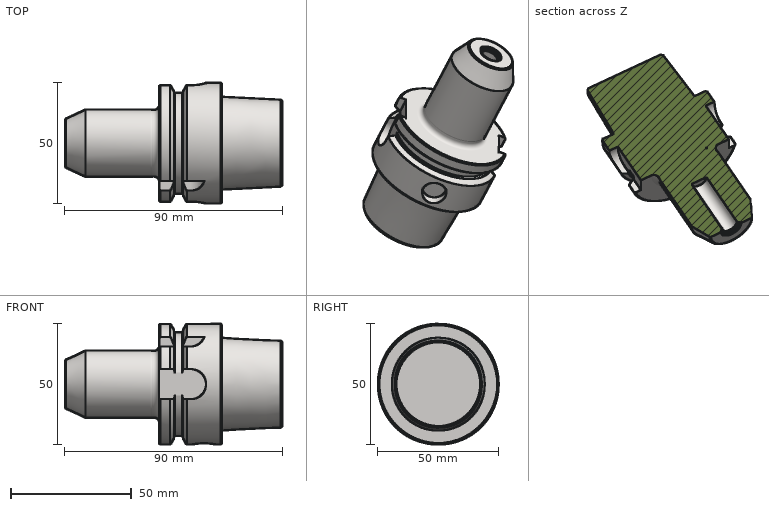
import cadquery as cq
import math

TOTAL_LENGTH = 90.0
FLANGE_START = 39.0
FLANGE_END = 65.0

NOSE_FACE_RADIUS = 9.6
NOSE_EDGE = 0.4
NOSE_EDGE_RADIUS = 10.2
NOSE_LENGTH = 8.55
SHANK_RADIUS = 28.0 / 2
NECK_RADIUS = 27.8 / 2
SHANK_END = 35.55
NECK_START = 36.1
NECK_FILLET = 2.1

FLANGE_RADIUS = 50.0 / 2
FRONT_CHAMFER = 0.45
REAR_CHAMFER = 0.6
GROOVE_FLOOR_RADIUS = 21.5
GROOVE_START = FLANGE_START + 6.1
GROOVE_END = FLANGE_START + 9.8
GROOVE_FILLET = 0.45
GROOVE_WALL_RADIUS = 22.5
GROOVE_FLANK_RADIUS = 24.5
FLANK_RUN = (GROOVE_FLANK_RADIUS - GROOVE_WALL_RADIUS) * math.tan(math.radians(30))
GROOVE_EDGE = 0.45

TAPER_RADIUS = 19.3
TAPER_SLOPE = 1 / 20
TAPER_EDGE_LENGTH = 0.9
TAPER_EDGE_DROP = 0.7

BORE_MOUTH_DIAMETER = 9.5
BORE_ENTRY_DIAMETER = 8.5
BORE_NECK_DIAMETER = 8.0
BORE_DIAMETER = 6.8
BORE_ENTRY_LENGTH = 0.3
BORE_DEPTH = 27.0

SLOT_FLOOR = 21.0
SLOT_END = FLANGE_START + 19.35
FRONT_SLOT_WIDTH = 12.4
BACK_SLOT_WIDTH = 13.8
BACK_SLOT_CORNER = 5.9
NOTCH_OFFSET = 15.6
NOTCH_STRAIGHT = 13.0
NOTCH_END_RADIUS = 6.0

SIDE_HOLE_DIAMETER = 10.0
SIDE_HOLE_X = FLANGE_START + 18.5
SIDE_HOLE_DEPTH = 4.6


def revolve_about_x(profile):
    """Turn a closed half profile, drawn as (x, radius), about X."""
    return profile.close().revolve(360, (0, 0, 0), (1, 0, 0))


def make_body():
    fillet_mid = NECK_FILLET * math.sqrt(0.5)
    fillet_start = FLANGE_START - NECK_FILLET
    fillet_top = NECK_RADIUS + NECK_FILLET
    groove_fillet_top = GROOVE_FLOOR_RADIUS + GROOVE_FILLET
    groove_mid = GROOVE_FILLET * (1 - math.sqrt(0.5))
    flank_front = GROOVE_START - FLANK_RUN
    flank_rear = GROOVE_END + FLANK_RUN
    taper_edge_x = TOTAL_LENGTH - TAPER_EDGE_LENGTH
    taper_edge_radius = TAPER_RADIUS - TAPER_SLOPE * (taper_edge_x - FLANGE_END)

    profile = (
        cq.Workplane("XY")
        .moveTo(0, 0)
        .lineTo(0, NOSE_FACE_RADIUS)
        .lineTo(NOSE_EDGE, NOSE_EDGE_RADIUS)
        .lineTo(NOSE_LENGTH, SHANK_RADIUS)
        .lineTo(SHANK_END, SHANK_RADIUS)
        .lineTo(NECK_START, NECK_RADIUS)
        .lineTo(fillet_start, NECK_RADIUS)
        .threePointArc(
            (fillet_start + fillet_mid, fillet_top - fillet_mid),
            (FLANGE_START, fillet_top),
        )
        .lineTo(FLANGE_START, FLANGE_RADIUS - FRONT_CHAMFER)
        .lineTo(FLANGE_START + FRONT_CHAMFER, FLANGE_RADIUS)
        .lineTo(flank_front - GROOVE_EDGE, FLANGE_RADIUS)
        .lineTo(flank_front, GROOVE_FLANK_RADIUS)
        .lineTo(GROOVE_START, GROOVE_WALL_RADIUS)
        .lineTo(GROOVE_START, groove_fillet_top)
        .threePointArc(
            (GROOVE_START + groove_mid, GROOVE_FLOOR_RADIUS + groove_mid),
            (GROOVE_START + GROOVE_FILLET, GROOVE_FLOOR_RADIUS),
        )
        .lineTo(GROOVE_END - GROOVE_FILLET, GROOVE_FLOOR_RADIUS)
        .threePointArc(
            (GROOVE_END - groove_mid, GROOVE_FLOOR_RADIUS + groove_mid),
            (GROOVE_END, groove_fillet_top),
        )
        .lineTo(GROOVE_END, GROOVE_WALL_RADIUS)
        .lineTo(flank_rear, GROOVE_FLANK_RADIUS)
        .lineTo(flank_rear + GROOVE_EDGE, FLANGE_RADIUS)
        .lineTo(FLANGE_END - REAR_CHAMFER, FLANGE_RADIUS)
        .lineTo(FLANGE_END, FLANGE_RADIUS - REAR_CHAMFER)
        .lineTo(FLANGE_END, TAPER_RADIUS)
        .lineTo(taper_edge_x, taper_edge_radius)
        .lineTo(TOTAL_LENGTH, taper_edge_radius - TAPER_EDGE_DROP)
        .lineTo(TOTAL_LENGTH, 0)
    )
    return revolve_about_x(profile)


def make_bore():
    mouth_depth = (BORE_MOUTH_DIAMETER - BORE_ENTRY_DIAMETER) / 2
    entry_end = mouth_depth + BORE_ENTRY_LENGTH
    cone_end = entry_end + (BORE_NECK_DIAMETER - BORE_DIAMETER) / 2
    profile = (
        cq.Workplane("XY")
        .moveTo(0, 0)
        .lineTo(0, BORE_MOUTH_DIAMETER / 2)
        .lineTo(mouth_depth, BORE_ENTRY_DIAMETER / 2)
        .lineTo(entry_end, BORE_ENTRY_DIAMETER / 2)
        .lineTo(entry_end, BORE_NECK_DIAMETER / 2)
        .lineTo(cone_end, BORE_DIAMETER / 2)
        .lineTo(BORE_DEPTH, BORE_DIAMETER / 2)
        .lineTo(BORE_DEPTH, 0)
    )
    return revolve_about_x(profile)


def make_slot_block(length, width, side):
    """Square-ended block over a slot floor on the +Y (side 1) or -Y (side -1) flank."""
    depth = FLANGE_RADIUS - SLOT_FLOOR
    center = (FLANGE_START + length / 2, side * (SLOT_FLOOR + depth / 2), 0)
    return cq.Workplane("XY").box(length, depth, width).translate(center)


def make_front_slot():
    """Slot at -Y with a full half-round end."""
    end_radius = FRONT_SLOT_WIDTH / 2
    length = SLOT_END - end_radius - FLANGE_START
    round_end = (
        cq.Workplane("XZ", origin=(FLANGE_START + length, -SLOT_FLOOR, 0))
        .circle(end_radius)
        .extrude(FLANGE_RADIUS - SLOT_FLOOR)
    )
    return make_slot_block(length, FRONT_SLOT_WIDTH, -1).union(round_end)


def make_back_slot():
    """Slot at +Y with two rounded corners and a short flat between them."""
    block = make_slot_block(SLOT_END - FLANGE_START, BACK_SLOT_WIDTH, 1)
    return block.edges("|Y and >X").fillet(BACK_SLOT_CORNER)


def make_notch():
    """Corner notch at -Y, +Z whose floor curves up and out at the rear end."""
    arc_start = FLANGE_START + NOTCH_STRAIGHT
    arc_end = arc_start + NOTCH_END_RADIUS
    arc_mid = NOTCH_END_RADIUS * math.sqrt(0.5)
    arc_top = NOTCH_OFFSET + NOTCH_END_RADIUS
    return (
        cq.Workplane("XZ", origin=(0, -NOTCH_OFFSET, 0))
        .moveTo(FLANGE_START, NOTCH_OFFSET)
        .lineTo(arc_start, NOTCH_OFFSET)
        .threePointArc((arc_start + arc_mid, arc_top - arc_mid), (arc_end, arc_top))
        .lineTo(arc_end, FLANGE_RADIUS)
        .lineTo(FLANGE_START, FLANGE_RADIUS)
        .close()
        .extrude(FLANGE_RADIUS - NOTCH_OFFSET)
    )


def make_side_hole():
    return (
        cq.Workplane("XY", origin=(SIDE_HOLE_X, 0, -FLANGE_RADIUS))
        .circle(SIDE_HOLE_DIAMETER / 2)
        .extrude(SIDE_HOLE_DEPTH)
    )


result = (
    make_body()
    .cut(make_bore())
    .cut(make_front_slot())
    .cut(make_back_slot())
    .cut(make_notch())
    .cut(make_side_hole())
)